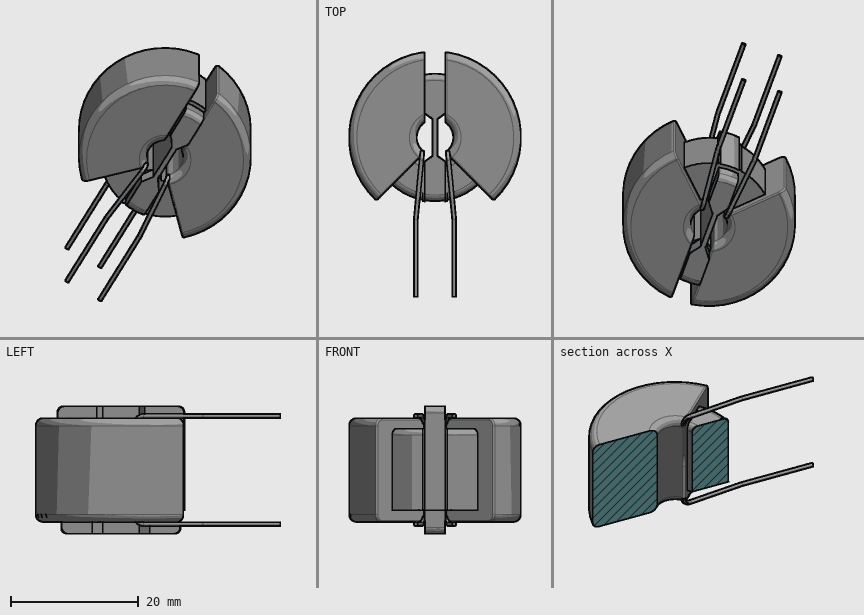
import math

import cadquery as cq

core_radius = 10.0
core_hole_radius = 4.1
core_top = 6.5
core_bottom = -6.3
core_round = 1.0

divider_thickness = 3.2
divider_top = 10.0
divider_bottom = -10.0
divider_round = 1.0
neck_thickness = 0.8
neck_half_length = 2.85
upper_shoulder = 3.75
lower_shoulder = 4.5
lower_divider_radius = 9.4

rail_width = 0.35
rail_height = 0.17

winding_radius = 13.5
winding_hole_radius = 2.85
winding_half_height = 8.15
winding_round = 1.2
winding_edge_round = 0.25
wedge_offset = 0.72

wire_radius = 0.325
wire_bend_radius = 1.2
wire_z = winding_half_height + wire_radius
wire_tip = (3.0, -25.0)
wire_kink = (3.0, -12.8)
wire_entry = (2.0, -2.35)

half_divider = divider_thickness / 2


def ring(outer_radius, hole_radius, bottom, top):
    """Annular cylinder about Z."""
    plane = cq.Workplane("XY").workplane(offset=bottom)
    return plane.circle(outer_radius).circle(hole_radius).extrude(top - bottom)


def rail(side):
    """Strip of a slightly larger ring, next to the divider on the -Y rim."""
    height = core_top - core_bottom
    blank = ring(core_radius + rail_height, core_hole_radius, core_bottom, core_top)
    blank = blank.faces(">Z").edges().fillet(core_round)
    length = core_radius * 2
    strip = cq.Workplane("XY").box(rail_width, length, height, centered=(True, False, False))
    center_x = side * (half_divider + rail_width / 2)
    return blank.intersect(strip.translate((center_x, -length, core_bottom)))


def core():
    body = ring(core_radius, core_hole_radius, core_bottom, core_top)
    body = body.faces(">Z").edges().fillet(core_round)
    for side in (-1, 1):
        body = body.union(rail(side))
    return body


def divider_section(radius, shoulder, bottom, top, rounded_face):
    """Waisted plate with ends on a circle, its end edges rounded on one face."""
    half_neck = neck_thickness / 2
    quarter_outline = [
        (half_divider, radius),
        (half_divider, shoulder),
        (half_neck, neck_half_length),
    ]
    right_side = quarter_outline + [(x, -y) for x, y in reversed(quarter_outline)]
    left_side = [(-x, -y) for x, y in right_side]
    plan = cq.Workplane("XY").workplane(offset=bottom)
    plate = plan.polyline(right_side + left_side).close().extrude(top - bottom)
    disc = plan.circle(radius).extrude(top - bottom)
    disc = disc.faces(rounded_face).edges().fillet(divider_round)
    return plate.intersect(disc)


def divider():
    upper = divider_section(core_radius, upper_shoulder, core_bottom, divider_top, ">Z")
    lower = divider_section(lower_divider_radius, lower_shoulder, divider_bottom, core_bottom, "<Z")
    return upper.union(lower)


def winding():
    """Winding on the +X side: a rounded ring sector with softened end faces."""
    height = winding_half_height * 2
    body = ring(winding_radius, winding_hole_radius, -winding_half_height, winding_half_height)
    body = body.edges("%CIRCLE").fillet(winding_round)
    reach = winding_radius * 2
    outline = [
        (half_divider, reach),
        (half_divider, -half_divider - wedge_offset),
        (reach, -reach - wedge_offset),
        (reach, reach),
    ]
    sector = cq.Workplane("XY").polyline(outline).close().extrude(height)
    body = body.intersect(sector.translate((0, 0, -winding_half_height)))
    end_face_edges = body.faces("%PLANE").faces("#Z").edges()
    return end_face_edges.fillet(winding_edge_round)


def wire_lead():
    """Top lead on the +X side, bent down into the winding hole."""
    run_x = wire_kink[0] - wire_entry[0]
    run_y = wire_kink[1] - wire_entry[1]
    run = math.hypot(run_x, run_y)

    def along(distance, z):
        share = distance / run
        return cq.Vector(wire_entry[0] + run_x * share, wire_entry[1] + run_y * share, z)

    arc_rise = wire_bend_radius * math.sin(math.pi / 4)
    start = along(0, wire_z - wire_bend_radius)
    middle = along(wire_bend_radius - arc_rise, wire_z - wire_bend_radius + arc_rise)
    bend_end = along(wire_bend_radius, wire_z)
    kink = cq.Vector(*wire_kink, wire_z)
    tip = cq.Vector(*wire_tip, wire_z)
    path = cq.Wire.assembleEdges([
        cq.Edge.makeThreePointArc(start, middle, bend_end),
        cq.Edge.makeLine(bend_end, kink),
        cq.Edge.makeLine(kink, tip),
    ])
    section = cq.Workplane("XY", origin=start.toTuple()).circle(wire_radius)
    return section.sweep(cq.Workplane(path), transition="round")


def add_mirrored(body, feature, planes):
    """Join a feature and its mirror images in every combination of the planes."""
    copies = [feature]
    for plane in planes:
        copies += [copy.mirror(plane) for copy in copies]
    for copy in copies:
        body = body.union(copy)
    return body


result = core().union(divider())
result = add_mirrored(result, winding(), ["YZ"])
result = add_mirrored(result, wire_lead(), ["YZ", "XY"])